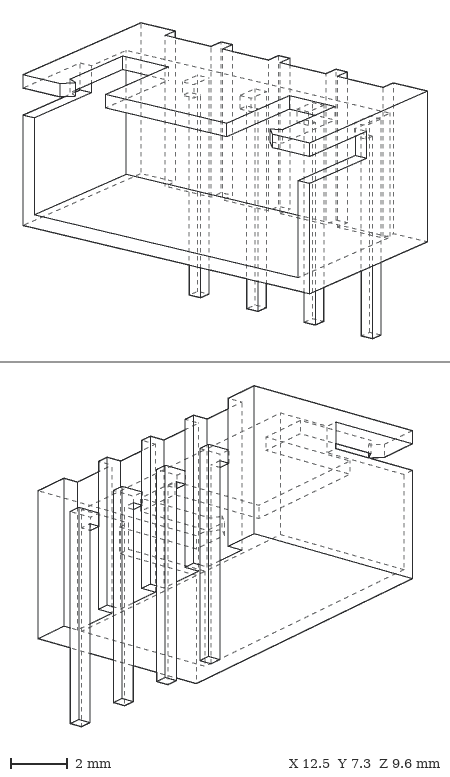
import cadquery as cq

width = 12.5
depth = 7.0
height = 5.6
wall = 0.5
cavity_depth = 5.45

window_inner_x = 2.64
window_outer_x = 4.62
window_length = 3.71
tooth_reach = 0.39
tooth_tip_y = 0.4
tooth_root_y = 0.6

side_slot_length = 3.39
side_slot_height = 1.0

recess_width = 9.5
recess_depth = 0.6

pin_count = 4
pin_pitch = 2.5
pin_size = 0.5
pin_overhang = 0.3
pin_drop = 4.0
pin_top_z = 4.02

recess_floor_y = depth - recess_depth


def box(x_min, x_max, y_min, y_max, z_min, z_max):
    """Axis-aligned block given by its limits."""
    size = (x_max - x_min, y_max - y_min, z_max - z_min)
    return cq.Workplane("XY").box(*size, centered=False).translate((x_min, y_min, z_min))


def centered_positions(count):
    """X positions of a row at pin pitch, centred on the part."""
    return [(i - (count - 1) / 2) * pin_pitch for i in range(count)]


def latch_window(side):
    """Roof cutter on one side (-1 or +1); its outline leaves the tooth standing."""
    outline = [
        (window_inner_x, 0),
        (window_outer_x, 0),
        (window_outer_x - tooth_reach, tooth_tip_y),
        (window_outer_x, tooth_root_y),
        (window_outer_x, window_length),
        (window_inner_x, window_length),
    ]
    return (
        cq.Workplane("XY")
        .workplane(offset=height - wall)
        .polyline([(side * x, y) for x, y in outline])
        .close()
        .extrude(wall)
    )


def pin(x):
    """Vertical leg behind the housing and a short arm reaching the recess floor."""
    x_min = x - pin_size / 2
    x_max = x + pin_size / 2
    back_y = depth + pin_overhang
    leg = box(x_min, x_max, back_y - pin_size, back_y, -pin_drop, pin_top_z)
    arm = box(x_min, x_max, recess_floor_y, back_y, pin_top_z - pin_size, pin_top_z)
    return leg.union(arm)


half_width = width / 2
housing = box(-half_width, half_width, 0, depth, 0, height)
housing = housing.cut(
    box(wall - half_width, half_width - wall, 0, cavity_depth, wall, height - wall)
)

slot_top_z = height - wall
housing = housing.cut(
    box(-half_width, half_width, 0, side_slot_length, slot_top_z - side_slot_height, slot_top_z)
)
for side in (-1, 1):
    housing = housing.cut(latch_window(side))

housing = housing.cut(
    box(-recess_width / 2, recess_width / 2, recess_floor_y, depth, 0, height)
)
for x in centered_positions(pin_count - 1):
    housing = housing.union(
        box(x - pin_size / 2, x + pin_size / 2, recess_floor_y, depth, 0, height)
    )

result = housing
for x in centered_positions(pin_count):
    result = result.union(pin(x))